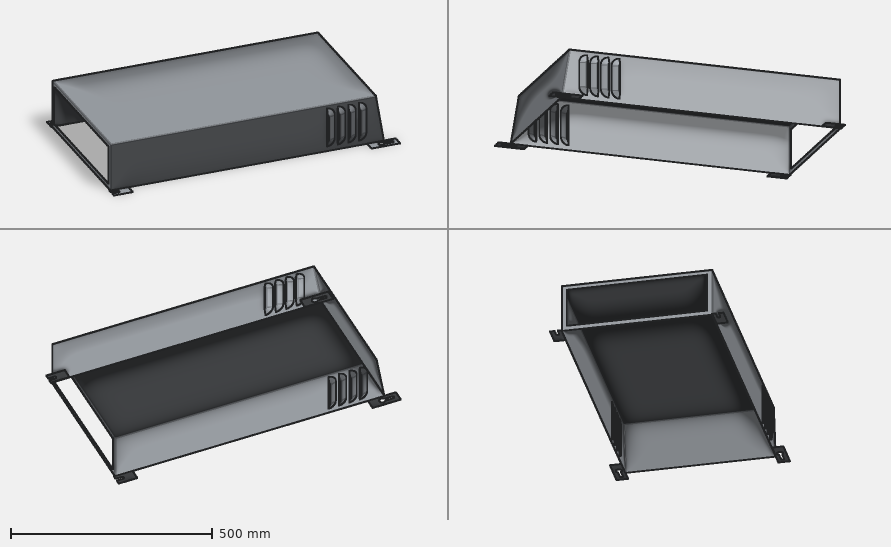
import cadquery as cq

sheet = 1.0
bend_radius = 2.0
cover_width = 384.0
cover_height = 129.0
front_y = -382.0
rear_bottom_y = 353.5
rear_top_y = 332.0
frame_width = 13.0

overall_width = 442.0
overall_length = 768.0
rear_tab_length = 77.0
front_tab_length = 51.0
tab_overlap = sheet
hole_x = 205.0
slot_width = 8.0
keyhole_diameter = 15.0
keyhole_y = 340.0
keyhole_slot_end_y = 373.0
front_slot_end_y = -363.5

louver_count = 4
louver_pitch = 28.5
first_louver_y = 285.0
louver_length = 21.0
louver_depth = 7.0
louver_ramp_rise = 5.0
louver_crest = 5.0
louver_lip = 2.0
louver_bottom_z = 13.0
louver_top_z = 118.0

half_width = cover_width / 2
half_length = overall_length / 2


def box_between(x_range, y_range, z_range):
    """Axis-aligned box from its limits along X, Y and Z."""
    sizes = [limits[1] - limits[0] for limits in (x_range, y_range, z_range)]
    corner = (x_range[0], y_range[0], z_range[0])
    return cq.Workplane("XY").box(*sizes, centered=False).translate(corner)


def make_shell():
    """Sheet cover with rounded bends, hollow and open underneath."""
    outer = (
        cq.Workplane("YZ")
        .polyline([
            (front_y, 0),
            (rear_bottom_y, 0),
            (rear_top_y, cover_height),
            (front_y, cover_height),
        ])
        .close()
        .extrude(half_width, both=True)
    )
    outer = outer.edges("not <Z").fillet(bend_radius)
    return outer.faces("<Z").shell(-sheet)


def make_front_opening():
    """Rectangular opening that leaves a frame around the front."""
    opening_x = half_width - frame_width
    return box_between(
        (-opening_x, opening_x),
        (front_y - sheet, front_y + 2 * sheet),
        (frame_width, cover_height - frame_width),
    )


def make_slot(y_start, y_end):
    """Slot along Y at the hole position, with a round end at y_end."""
    half_slot = slot_width / 2
    return (
        cq.Workplane("XY")
        .moveTo(hole_x - half_slot, y_start)
        .lineTo(hole_x - half_slot, y_end - half_slot)
        .threePointArc((hole_x, y_end), (hole_x + half_slot, y_end - half_slot))
        .lineTo(hole_x + half_slot, y_start)
        .close()
        .extrude(sheet)
    )


def make_tabs():
    """Keyhole tab at the rear and slotted tab at the front, on the +X side."""
    tab_x = (half_width - tab_overlap, overall_width / 2)
    rear_tab = box_between(tab_x, (half_length - rear_tab_length, half_length), (0, sheet))
    keyhole = cq.Workplane("XY").center(hole_x, keyhole_y).circle(keyhole_diameter / 2).extrude(sheet)
    rear_tab = rear_tab.cut(keyhole).cut(make_slot(keyhole_y, keyhole_slot_end_y))
    front_tab = box_between(tab_x, (-half_length, -half_length + front_tab_length), (0, sheet))
    front_tab = front_tab.cut(make_slot(-half_length, front_slot_end_y))
    return rear_tab.union(front_tab)


def make_louver(front_edge_y, inset):
    """Solid louver on the +X wall: a straight run between two quarter-turn ends.

    The inset moves the whole shape inward, toward the middle of the cover.
    """
    low_z = louver_bottom_z + louver_length
    high_z = louver_top_z - louver_length
    base_x = half_width - sheet - inset
    crest_x = half_width + louver_depth - inset
    ramp_end_x = half_width + louver_ramp_rise - inset
    ramp_run = louver_length - louver_crest
    foot_y = louver_length + ramp_run * sheet / louver_ramp_rise

    def profile(z):
        """Closed section of the louver at height z, reaching through the wall."""
        return (
            cq.Workplane("XY", origin=(0, front_edge_y, z))
            .polyline([(base_x, 0), (base_x, foot_y), (ramp_end_x, louver_crest)])
            .tangentArcPoint((crest_x, louver_lip), relative=False)
            .lineTo(crest_x, 0)
            .close()
        )

    louver = profile(low_z).extrude(high_z - low_z)
    lower_end = profile(low_z).revolve(90, (0, 0), (-1, 0))
    upper_end = profile(high_z).revolve(90, (0, 0), (1, 0))
    return louver.union(lower_end).union(upper_end)


shell = make_shell().cut(make_front_opening())
tabs = make_tabs()
result = shell.union(tabs).union(tabs.mirror("YZ"))

for index in range(louver_count):
    louver_y = first_louver_y - index * louver_pitch
    skin = make_louver(louver_y, 0)
    void = make_louver(louver_y, sheet)
    for side_skin, side_void in ((skin, void), (skin.mirror("YZ"), void.mirror("YZ"))):
        result = result.union(side_skin).cut(side_void)